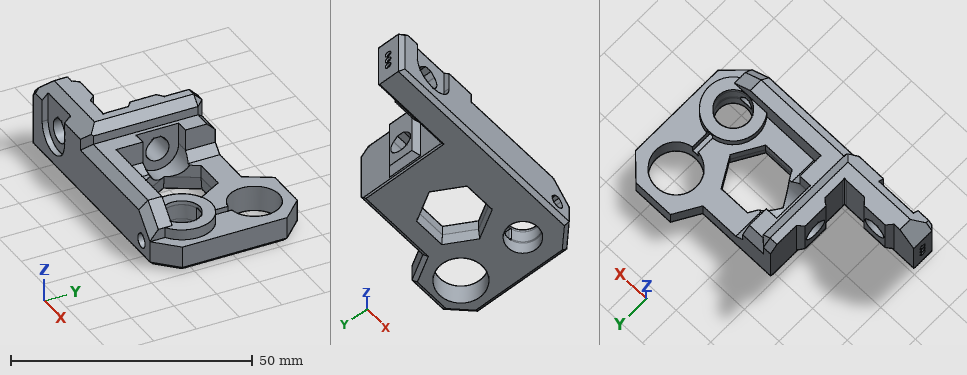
import cadquery as cq
import math

plate_top = 6.0
wall_top = 13.0
tall_top = 17.0
depth = 28.5

wing_back = 6.45
spine_left = 20.0
spine_right = 24.0
step_right = 28.0
front_wall_back = 5.2
tall_top_chamfer = 3.3
step_chamfer = 2.0
gusset_size = 2.0
end_chamfer = 4.0
end_facet_drop = 1.3
small_chamfer = 1.0
inner_chamfer = 0.35

plate_length = 58.0
plate_depth = 34.5
plate_corner = 5.0
wall_end = plate_length - plate_corner
plate_nose_x = 43.05
plate_neck_x = 39.55

slope_start = 48.45
slope_chamfer_drop = 2.4

relief_length = 0.6
relief_depth = 0.1

rib_height = 1.4
rib_tip_width = 6.15
rib_flank = 1.15
rib_base_width = rib_tip_width + 2 * rib_flank
rib_bottom = 1.05
rib_tip_bottom = 2.5

screw_diameter = 5.4
head_diameter = 10.0
teardrop_rise = 1.1
wing_screw_x = 10.0
wing_screw_z = 8.45
wing_recess_depth = 1.4
spine_screw_y = 16.5
spine_screw_z = 8.0
spine_seat_x = 25.0

hex_x = 35.65
hex_flats = 13.2
hex_flare = 0.3
hex_flare_height = 3.0

bore_x = 49.25
big_bore_y = 26.45
big_bore_diameter = 11.6
rod_bore_y = 9.45
rod_bore_diameter = 8.2
rod_relief_diameter = 8.3
rod_mouth_diameter = 8.45
rod_mouth_depth = 0.85
boss_diameter = 14.05
boss_top = 8.4
slot_width = 1.6
slot_bottom = 3.55
slot_top = boss_top - rod_mouth_depth
slot_rounding = 0.6
slot_rounding_bottom = 4.05
set_screw_diameter = 3.2
set_screw_z = 4.05

dimple_diameter = 1.5
dimple_depth = 0.5
dimple_y = 3.75
dimple_z = 6.55
dimple_pitch = 2.0


def prism(points, height):
    return cq.Workplane("XY").polyline(points).close().extrude(height)


def along_x(points, x_start, x_end):
    """Prism with a YZ outline."""
    return cq.Workplane("YZ", origin=(x_start, 0, 0)).polyline(points).close().extrude(x_end - x_start)


def along_y(points, y_start, y_end):
    """Prism with an XZ outline."""
    return cq.Workplane("XZ", origin=(0, y_start, 0)).polyline(points).close().extrude(y_start - y_end)


def ruled_along_y(front_points, back_points, y_front, y_back):
    """Straight-sided blend between two XZ outlines with matching points."""
    return (
        cq.Workplane("XZ", origin=(0, y_front, 0))
        .polyline(front_points)
        .close()
        .workplane(offset=y_front - y_back)
        .polyline(back_points)
        .close()
        .loft(ruled=True)
    )


def truncated_teardrop(workplane, diameter):
    """Round outline whose top is raised slightly to a short flat between two 45 degree flanks."""
    radius = diameter / 2
    flank = radius * math.sqrt(0.5)
    flat_height = teardrop_rise * radius
    flat_half_width = radius * math.sqrt(2) - flat_height
    return (
        workplane.moveTo(-flank, flank)
        .threePointArc((0, -radius), (flank, flank))
        .lineTo(flat_half_width, flat_height)
        .lineTo(-flat_half_width, flat_height)
        .close()
    )


def make_base():
    """Footprint of the whole part up to the plate top, with its lower rim chamfered."""
    outline = [
        (0, small_chamfer),
        (small_chamfer, 0),
        (wall_end, 0),
        (plate_length, plate_corner),
        (plate_length, plate_depth - plate_corner),
        (wall_end, plate_depth),
        (plate_nose_x, plate_depth),
        (plate_neck_x, depth),
        (spine_left, depth),
        (spine_left, wing_back),
        (0, wing_back),
    ]
    edge_count = len(outline)
    outer_edges = range(1, 8)
    inner_edges = range(8, 10)

    def chamfer_rim(body, edge_numbers, size):
        selected = None
        for number in edge_numbers:
            (x1, y1), (x2, y2) = outline[number], outline[(number + 1) % edge_count]
            pick = cq.NearestToPointSelector(((x1 + x2) / 2, (y1 + y2) / 2, 0))
            selected = pick if selected is None else selected + pick
        return body.faces("<Z").edges(selected).chamfer(size)

    base = prism(outline, plate_top)
    base = chamfer_rim(base, outer_edges, small_chamfer)
    return chamfer_rim(base, inner_edges, inner_chamfer)


def make_tall_wall():
    """Full-height wing and spine, including every chamfer on their upper edges."""
    hip_x = spine_right - step_chamfer
    wall = prism(
        [
            (0, small_chamfer),
            (small_chamfer, 0),
            (hip_x, 0),
            (spine_right, step_chamfer),
            (spine_right, depth - step_chamfer),
            (hip_x, depth),
            (spine_left, depth),
            (spine_left, wing_back),
            (0, wing_back),
        ],
        tall_top - plate_top,
    ).translate((0, 0, plate_top))

    front_wedge = along_x(
        [(0, tall_top), (0, tall_top - tall_top_chamfer), (tall_top_chamfer, tall_top)], 0, spine_right
    )
    back_wedge = along_x(
        [(depth, tall_top), (depth, tall_top - step_chamfer), (depth - step_chamfer, tall_top)], 0, spine_right
    )

    def spine_triangle(size):
        return [(spine_right, tall_top), (spine_right, tall_top - size), (spine_right - size, tall_top)]

    spine_wedge = along_y(spine_triangle(step_chamfer), 0, depth)
    corner_facet = ruled_along_y(
        spine_triangle(step_chamfer), spine_triangle(2 * step_chamfer), depth - step_chamfer, depth
    )

    def end_triangle(size):
        return [(0, tall_top), (0, tall_top - size), (size, tall_top)]

    end_wedge = along_y(end_triangle(end_chamfer), small_chamfer, wing_back)
    end_facet = ruled_along_y(
        end_triangle(end_chamfer + end_facet_drop), end_triangle(end_chamfer), 0, small_chamfer
    )

    for cutter in (front_wedge, back_wedge, spine_wedge, corner_facet, end_wedge, end_facet):
        wall = wall.cut(cutter)
    return wall


def make_low_wall():
    """Front wall with its sloped right end, and the lower step behind the spine."""
    slope_end_z = wall_top - (wall_end - slope_start)
    ridge = [
        (spine_left, plate_top),
        (wall_end, plate_top),
        (wall_end, slope_end_z),
        (slope_start, wall_top),
        (spine_left, wall_top),
    ]
    face_top = wall_top - step_chamfer
    face_slope_start = slope_start - (slope_chamfer_drop - step_chamfer)
    face_slope_end_z = slope_end_z - slope_chamfer_drop
    face = [
        (spine_left, plate_top),
        (wall_end, plate_top),
        (wall_end, face_slope_end_z),
        (face_slope_start, face_top),
        (spine_left, face_top),
    ]
    front_wall = ruled_along_y(face, ridge, 0, step_chamfer).union(
        along_y(ridge, step_chamfer, front_wall_back)
    )

    step = along_x(
        [
            (0, plate_top),
            (0, face_top),
            (step_chamfer, wall_top),
            (depth - step_chamfer, wall_top),
            (depth, face_top),
            (depth, plate_top),
        ],
        spine_left,
        step_right,
    )

    gusset = along_y(
        [
            (step_right, plate_top),
            (step_right + gusset_size, plate_top),
            (step_right, plate_top + gusset_size),
        ],
        front_wall_back,
        depth,
    )
    return front_wall.union(step).union(gusset)


def make_rib():
    """Vertical dovetail rib standing on the plane Y = 0, pointing to +Y, with a bevelled foot."""
    plan = prism(
        [
            (-rib_base_width / 2, 0),
            (rib_base_width / 2, 0),
            (rib_tip_width / 2, rib_height),
            (-rib_tip_width / 2, rib_height),
        ],
        tall_top,
    )
    side = along_x(
        [(0, rib_bottom), (rib_height, rib_tip_bottom), (rib_height, tall_top), (0, tall_top)],
        -rib_base_width / 2,
        rib_base_width / 2,
    )
    return plan.intersect(side)


def cylinder_z(x, y, diameter, z_bottom, z_top):
    return cq.Workplane("XY", origin=(x, y, z_bottom)).circle(diameter / 2).extrude(z_top - z_bottom)


def head_seat(workplane, height):
    """U-shaped outline for a screw head: round below, open straight upward."""
    radius = head_diameter / 2
    return (
        workplane.moveTo(-radius, 0)
        .threePointArc((0, -radius), (radius, 0))
        .lineTo(radius, height)
        .lineTo(-radius, height)
        .close()
    )


def make_wing_screw_hole():
    """Teardrop hole along Y with a shallow, upward-open seat for the screw head."""
    center = (wing_screw_x, 0, wing_screw_z)
    hole = truncated_teardrop(cq.Workplane("XZ", origin=center), screw_diameter).extrude(
        -(wing_back + rib_height)
    )
    seat = head_seat(cq.Workplane("XZ", origin=center), tall_top - wing_screw_z).extrude(-wing_recess_depth)
    return hole.union(seat)


def make_spine_screw_hole():
    """Teardrop hole along X, opening into an upward-open seat that runs into the hexagon."""
    hole = truncated_teardrop(
        cq.Workplane("YZ", origin=(spine_left - rib_height, spine_screw_y, spine_screw_z)), screw_diameter
    ).extrude(hex_x - spine_left)
    seat = head_seat(
        cq.Workplane("YZ", origin=(spine_seat_x, spine_screw_y, spine_screw_z)), tall_top - spine_screw_z
    ).extrude(hex_x - spine_seat_x)
    return hole.union(seat)


def make_hexagon():
    """Through hexagon that widens towards the underside."""
    corner_diameter = hex_flats / math.cos(math.pi / 6)
    flared_diameter = (hex_flats + 2 * hex_flare) / math.cos(math.pi / 6)
    straight = cq.Workplane("XY", origin=(hex_x, spine_screw_y, hex_flare_height)).polygon(
        6, corner_diameter
    ).extrude(plate_top)
    flare = (
        cq.Workplane("XY", origin=(hex_x, spine_screw_y, 0))
        .polygon(6, flared_diameter)
        .workplane(offset=hex_flare_height)
        .polygon(6, corner_diameter)
        .loft(ruled=True)
    )
    return straight.union(flare)


def make_rod_bore():
    """Through bore, slightly wider above mid-height, with a conical mouth."""
    half_section = [
        (0, 0),
        (rod_bore_diameter / 2, 0),
        (rod_bore_diameter / 2, slot_bottom),
        (rod_relief_diameter / 2, slot_rounding_bottom),
        (rod_relief_diameter / 2, slot_top),
        (rod_mouth_diameter / 2, boss_top),
        (0, boss_top),
    ]
    profile = cq.Workplane("XZ", origin=(bore_x, rod_bore_y, 0)).polyline(half_section).close()
    return profile.revolve(360, (0, 0, 0), (0, 1, 0))


def make_slot():
    """Narrow slot joining the two bores, with rounded edges where it enters the rod bore."""
    half_width = slot_width / 2
    slot = (
        cq.Workplane("XY", origin=(bore_x, rod_bore_y, slot_bottom))
        .rect(slot_width, 2 * (big_bore_y - rod_bore_y))
        .extrude(slot_top - slot_bottom)
        .intersect(cylinder_z(bore_x, big_bore_y, 2 * (big_bore_y - rod_bore_y), 0, tall_top))
    )
    mouth_y = rod_bore_y + math.sqrt((rod_relief_diameter / 2) ** 2 - (half_width + slot_rounding) ** 2)
    arc_middle = slot_rounding * (1 - math.sqrt(0.5))
    wide = half_width + slot_rounding
    end_y = mouth_y + slot_rounding
    rounding = (
        cq.Workplane("XY", origin=(bore_x, 0, slot_rounding_bottom))
        .moveTo(-wide, rod_bore_y)
        .lineTo(-wide, mouth_y)
        .threePointArc((-half_width - arc_middle, mouth_y + arc_middle), (-half_width, end_y))
        .lineTo(half_width, end_y)
        .threePointArc((half_width + arc_middle, mouth_y + arc_middle), (wide, mouth_y))
        .lineTo(wide, rod_bore_y)
        .close()
        .extrude(slot_top - slot_rounding_bottom)
    )
    return slot.union(rounding)


def make_set_screw_hole():
    center = (bore_x, 0, set_screw_z)
    return truncated_teardrop(cq.Workplane("XZ", origin=center), set_screw_diameter).extrude(-rod_bore_y)


def make_corner_relief():
    """Shallow full-height notch in the inner corner between wing and spine."""
    return prism(
        [
            (spine_left - relief_length, wing_back),
            (spine_left + relief_depth, wing_back - relief_depth),
            (spine_left, wing_back + relief_length),
        ],
        tall_top,
    )


def make_dimples():
    heights = [-dimple_pitch, 0, dimple_pitch]
    return (
        cq.Workplane("YZ", origin=(0, dimple_y, dimple_z))
        .pushPoints([(0, height) for height in heights])
        .circle(dimple_diameter / 2)
        .extrude(dimple_depth)
    )


wing_rib = make_rib().translate((wing_screw_x, wing_back, 0))
spine_rib = make_rib().rotate((0, 0, 0), (0, 0, 1), 90).translate((spine_left, spine_screw_y, 0))
boss = cylinder_z(bore_x, rod_bore_y, boss_diameter, plate_top, boss_top)

result = (
    make_base()
    .union(make_tall_wall())
    .union(make_low_wall())
    .union(wing_rib)
    .union(spine_rib)
    .union(boss)
    .cut(make_wing_screw_hole())
    .cut(make_spine_screw_hole())
    .cut(make_hexagon())
    .cut(cylinder_z(bore_x, big_bore_y, big_bore_diameter, 0, plate_top))
    .cut(make_rod_bore())
    .cut(make_slot())
    .cut(make_set_screw_hole())
    .cut(make_dimples())
    .cut(make_corner_relief())
)